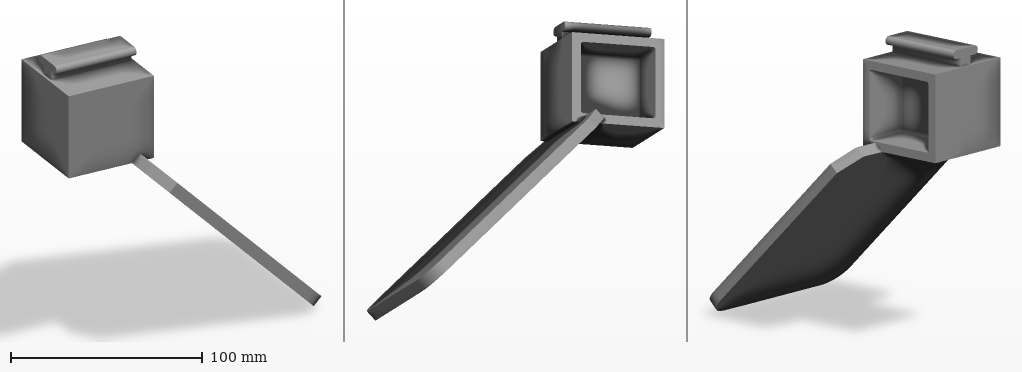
import cadquery as cq
import math

BLOCK_WIDTH = 50.8
BLOCK_DEPTH = 50.8
BLOCK_HEIGHT = 47.625
WALL = 4.7625

POCKET_DEPTH = 22.86
POCKET_DRAFT = 3.0
POCKET_FILLET = 1.5875

HEAD_WIDTH = 19.05
HEAD_HEIGHT = 4.7625
HEAD_FILLET = 2.37
STEM_WIDTH = 7.9375
STEM_HEIGHT = 4.7625
RAIL_LENGTH = 47.625

PLATE_WIDTH = 101.6
PLATE_LENGTH = 139.7
PLATE_SLOPE = 45.0
PLATE_INSET = 12.7
PLATE_BASE_THICKNESS = 6.35
CREASE_X = -BLOCK_WIDTH / 2
UNDERSIDE_DROP = 0.268
EDGE_TAPER = 0.18
CORNER_CHAMFER = 11.6
CORNER_RADIUS = 12.7
TIP_HEIGHT = 4.0


def make_block():
    return cq.Workplane("XY").box(
        BLOCK_WIDTH, BLOCK_DEPTH, BLOCK_HEIGHT, centered=(True, True, False)
    )


def make_pocket():
    pocket = (
        cq.Workplane("YZ", origin=(-BLOCK_WIDTH / 2, 0, BLOCK_HEIGHT / 2))
        .rect(BLOCK_DEPTH - 2 * WALL, BLOCK_HEIGHT - 2 * WALL)
        .extrude(POCKET_DEPTH, taper=POCKET_DRAFT)
    )
    return pocket.edges("not(<X)").fillet(POCKET_FILLET)


def make_rail():
    stem = cq.Workplane("XY", origin=(0, 0, BLOCK_HEIGHT)).box(
        STEM_WIDTH, RAIL_LENGTH, STEM_HEIGHT, centered=(True, True, False)
    )
    head = (
        cq.Workplane("XY", origin=(0, 0, BLOCK_HEIGHT + STEM_HEIGHT))
        .box(HEAD_WIDTH, RAIL_LENGTH, HEAD_HEIGHT, centered=(True, True, False))
        .edges("|Y")
        .fillet(HEAD_FILLET)
    )
    return stem.union(head)


def make_plate_section(plane):
    """Full-length bar with the plate's cross-section, thinner at the -X edge."""
    half_width = PLATE_WIDTH / 2
    bottom = -UNDERSIDE_DROP
    top = PLATE_BASE_THICKNESS
    return (
        cq.Workplane(plane)
        .moveTo(-half_width, bottom + EDGE_TAPER)
        .lineTo(CREASE_X, bottom)
        .lineTo(half_width, bottom)
        .lineTo(half_width, top)
        .lineTo(CREASE_X, top)
        .lineTo(-half_width, top - EDGE_TAPER)
        .close()
        .extrude(-PLATE_LENGTH)
    )


def make_plate_outline(plane):
    """Prism with the plate's outline: chamfers at the upper end, rounds at the lower."""
    half_width = PLATE_WIDTH / 2
    chamfer_x = half_width - CORNER_CHAMFER
    round_x = half_width - CORNER_RADIUS
    round_start = PLATE_LENGTH - CORNER_RADIUS
    return (
        cq.Workplane(plane)
        .moveTo(chamfer_x, 0)
        .lineTo(half_width, CORNER_CHAMFER)
        .lineTo(half_width, round_start)
        .radiusArc((round_x, PLATE_LENGTH), -CORNER_RADIUS)
        .lineTo(-round_x, PLATE_LENGTH)
        .radiusArc((-half_width, round_start), -CORNER_RADIUS)
        .lineTo(-half_width, CORNER_CHAMFER)
        .lineTo(-chamfer_x, 0)
        .close()
        .extrude(2 * PLATE_BASE_THICKNESS, both=True)
    )


def make_plate():
    slope = math.radians(PLATE_SLOPE)
    foot = (0, BLOCK_DEPTH / 2 - PLATE_INSET, 0)
    uphill = (0, -math.cos(slope), math.sin(slope))
    top_normal = (0, math.sin(slope), math.cos(slope))
    section_plane = cq.Plane(origin=foot, xDir=(1, 0, 0), normal=uphill)
    outline_plane = cq.Plane(origin=foot, xDir=(1, 0, 0), normal=top_normal)
    plate = make_plate_section(section_plane).intersect(make_plate_outline(outline_plane))

    tip_cutter = cq.Workplane("XY", origin=(0, 0, TIP_HEIGHT)).box(
        2 * PLATE_WIDTH, BLOCK_DEPTH, BLOCK_HEIGHT, centered=(True, True, False)
    )
    return plate.cut(tip_cutter)


result = make_block().union(make_plate()).cut(make_pocket()).union(make_rail())